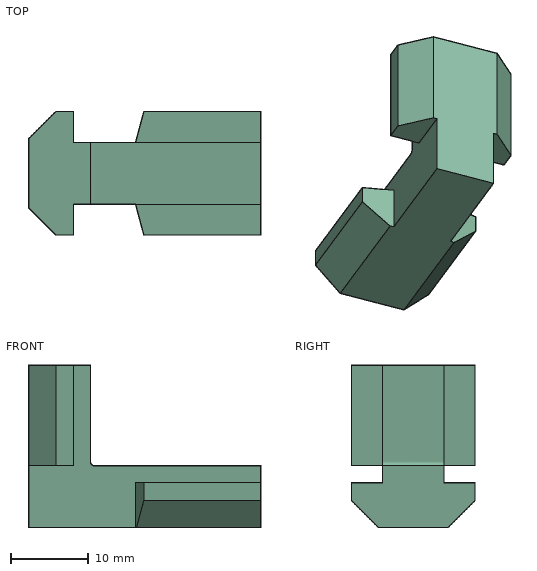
import cadquery as cq
import math

LENGTH = 30.0
WIDTH = 16.0
HEIGHT = 21.0

CORE_WIDTH = 8.0
ARM_THICKNESS = 8.0
INNER_CORNER_RADIUS = 0.5

FLANGE_DEPTH = 5.8
FLANGE_CHAMFER = 3.5

FLANGE_START_X = 13.8
END_SLANT_ANGLE = 15.0


def make_core():
    """L-shaped core, centred on Y, with a rounded inner corner."""
    fillet_end = ARM_THICKNESS + INNER_CORNER_RADIUS
    return (
        cq.Workplane("XZ")
        .lineTo(LENGTH, 0)
        .lineTo(LENGTH, ARM_THICKNESS)
        .lineTo(fillet_end, ARM_THICKNESS)
        .radiusArc((ARM_THICKNESS, fillet_end), INNER_CORNER_RADIUS)
        .lineTo(ARM_THICKNESS, HEIGHT)
        .lineTo(0, HEIGHT)
        .close()
        .extrude(CORE_WIDTH / 2, both=True)
    )


def flange_section():
    """Flange outline as (depth from the outer face, Y) points."""
    half_width = WIDTH / 2
    half_face = half_width - FLANGE_CHAMFER
    return [
        (0, -half_face),
        (FLANGE_CHAMFER, -half_width),
        (FLANGE_DEPTH, -half_width),
        (FLANGE_DEPTH, half_width),
        (FLANGE_CHAMFER, half_width),
        (0, half_face),
    ]


def make_vertical_flange():
    """Flange on the upright arm, starting above the horizontal arm."""
    return (
        cq.Workplane("XY", origin=(0, 0, ARM_THICKNESS))
        .polyline(flange_section())
        .close()
        .extrude(HEIGHT - ARM_THICKNESS)
    )


def make_horizontal_flange():
    """Flange under the horizontal arm, with both inner ends slanted in plan."""
    section = [(y, depth) for depth, y in flange_section()]
    bar = (
        cq.Workplane("YZ", origin=(FLANGE_START_X, 0, 0))
        .polyline(section)
        .close()
        .extrude(LENGTH - FLANGE_START_X)
    )
    overhang = (WIDTH - CORE_WIDTH) / 2
    tip_x = FLANGE_START_X + overhang * math.tan(math.radians(END_SLANT_ANGLE))
    plan = (
        cq.Workplane("XY")
        .polyline([
            (FLANGE_START_X, -CORE_WIDTH / 2),
            (tip_x, -WIDTH / 2),
            (LENGTH, -WIDTH / 2),
            (LENGTH, WIDTH / 2),
            (tip_x, WIDTH / 2),
            (FLANGE_START_X, CORE_WIDTH / 2),
        ])
        .close()
        .extrude(FLANGE_DEPTH)
    )
    return bar.intersect(plan)


result = (
    make_core()
    .union(make_vertical_flange())
    .union(make_horizontal_flange())
)